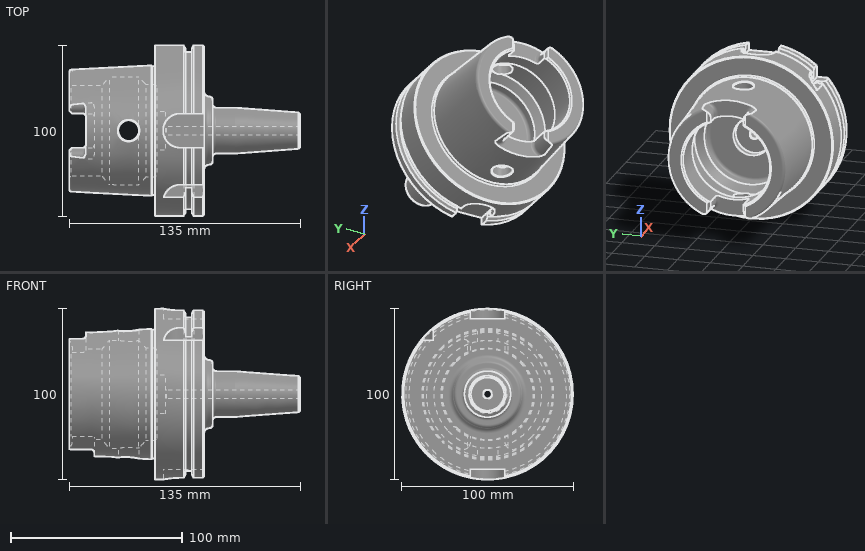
import cadquery as cq
import math

total_length = 135.0

flange_start = 50.0
shank_tip_radius = 35.8
shank_slope = 0.05
shank_tip_rounding = 1.8
relief_start = 48.0
relief_radius = 75.5 / 2
relief_floor_start = 48.6
relief_fillet = 0.8
relief_depth_in_flange = 0.3
relief_mouth_radius = 39.4

flange_end = 79.0
flange_radius = 100.0 / 2
flange_back_chamfer = 0.5
flange_front_chamfer = 1.0
groove_center = 69.86
groove_floor_radius = 46.0
groove_floor_half_width = 1.8
groove_shoulder_radius = 47.9
groove_half_angle = 30.0

collar_radius = 20.0
collar_root_fillet = 3.0
collar_edge_round = 2.0
collar_end = flange_end + collar_root_fillet + collar_edge_round
nose_radius = 13.5
nose_root_fillet = 2.0
nose_taper_start = 96.9
nose_half_angle = 4.3
nose_tip_chamfer = 1.0

bore_radius = 53.0 / 2
mouth_chamfer = 1.0
undercut_radius = 63.0 / 2
undercut_start = 19.2
undercut_half_angle = 50.0
undercut_end = 40.4
shoulder_half_angle = 45.0
rear_bore_radius = 27.0
bore_floor = 51.3
bore_floor_fillet = 2.0
pocket_radius = 22.4 / 2
pocket_depth = 5.0
through_hole_diameter = 4.9
through_hole_chamfer = 0.4

side_hole_x = 34.8
side_hole_diameter = 12.0
side_hole_chamfer = 0.4

slot_width = 20.0
top_slot_depth = 9.9
bottom_slot_depth = 14.7
slot_flank_round = 5.0
slot_shelf_height = 32.4
slot_floor_fillet = 2.0
slot_mouth_chamfer = 1.8

keyway_width = 20.0
keyway_center_x = 65.0
keyway_floor = 44.0
notch_offset = 31.6


def arc_middle(center_x, center_r, radius, angle):
    """Point on an arc of the profile, at an angle in degrees from the first axis."""
    a = math.radians(angle)
    return (center_x + radius * math.cos(a), center_r + radius * math.sin(a))


def revolve_about_x(profile):
    return profile.close().revolve(360, (0, 0, 0), (1, 0, 0))


def outer_body():
    shank_end_radius = shank_tip_radius + shank_slope * relief_start
    groove_rise = flange_radius - groove_shoulder_radius
    groove_half_width = groove_floor_half_width + groove_rise * math.tan(math.radians(groove_half_angle))
    nose_tip_radius = nose_radius - (total_length - nose_taper_start) * math.tan(math.radians(nose_half_angle))
    root_center_x = flange_end + collar_root_fillet
    root_center_r = collar_radius + collar_root_fillet
    edge_center_r = collar_radius - collar_edge_round
    nose_center_x = collar_end + nose_root_fillet
    nose_center_r = nose_radius + nose_root_fillet
    relief_center_x = flange_start + relief_depth_in_flange - relief_fillet
    relief_center_r = relief_radius + relief_fillet
    rounding_center_r = shank_tip_radius - shank_tip_rounding

    profile = (
        cq.Workplane("XY")
        .moveTo(0, 0)
        .lineTo(0, rounding_center_r)
        .threePointArc(
            arc_middle(shank_tip_rounding, rounding_center_r, shank_tip_rounding, 135),
            (shank_tip_rounding, shank_tip_radius),
        )
        .lineTo(relief_start, shank_end_radius)
        .lineTo(relief_floor_start, relief_radius)
        .lineTo(relief_center_x, relief_radius)
        .threePointArc(
            arc_middle(relief_center_x, relief_center_r, relief_fillet, -45),
            (relief_center_x + relief_fillet, relief_center_r),
        )
        .lineTo(flange_start, relief_mouth_radius)
        .lineTo(flange_start, flange_radius - flange_back_chamfer)
        .lineTo(flange_start + flange_back_chamfer, flange_radius)
        .lineTo(groove_center - groove_half_width, flange_radius)
        .lineTo(groove_center - groove_floor_half_width, groove_shoulder_radius)
        .lineTo(groove_center - groove_floor_half_width, groove_floor_radius)
        .lineTo(groove_center + groove_floor_half_width, groove_floor_radius)
        .lineTo(groove_center + groove_floor_half_width, groove_shoulder_radius)
        .lineTo(groove_center + groove_half_width, flange_radius)
        .lineTo(flange_end - flange_front_chamfer, flange_radius)
        .lineTo(flange_end, flange_radius - flange_front_chamfer)
        .lineTo(flange_end, root_center_r)
        .threePointArc(
            arc_middle(root_center_x, root_center_r, collar_root_fillet, 225),
            (root_center_x, collar_radius),
        )
        .threePointArc(
            arc_middle(root_center_x, edge_center_r, collar_edge_round, 45),
            (collar_end, edge_center_r),
        )
        .lineTo(collar_end, nose_center_r)
        .threePointArc(
            arc_middle(nose_center_x, nose_center_r, nose_root_fillet, 225),
            (nose_center_x, nose_radius),
        )
        .lineTo(nose_taper_start, nose_radius)
        .lineTo(total_length, nose_tip_radius)
        .lineTo(total_length, 0)
    )
    return revolve_about_x(profile).faces(">X").edges().chamfer(nose_tip_chamfer)


def bore():
    flare_length = (undercut_radius - bore_radius) / math.tan(math.radians(undercut_half_angle))
    shoulder_length = (undercut_radius - rear_bore_radius) / math.tan(math.radians(shoulder_half_angle))
    fillet_center_x = bore_floor - bore_floor_fillet
    fillet_center_r = rear_bore_radius - bore_floor_fillet
    pocket_floor = bore_floor + pocket_depth
    through_hole_radius = through_hole_diameter / 2
    profile = (
        cq.Workplane("XY")
        .moveTo(0, 0)
        .lineTo(0, bore_radius + mouth_chamfer)
        .lineTo(mouth_chamfer, bore_radius)
        .lineTo(undercut_start, bore_radius)
        .lineTo(undercut_start + flare_length, undercut_radius)
        .lineTo(undercut_end, undercut_radius)
        .lineTo(undercut_end + shoulder_length, rear_bore_radius)
        .lineTo(fillet_center_x, rear_bore_radius)
        .threePointArc(
            arc_middle(fillet_center_x, fillet_center_r, bore_floor_fillet, 45),
            (bore_floor, fillet_center_r),
        )
        .lineTo(bore_floor, pocket_radius)
        .lineTo(pocket_floor, pocket_radius)
        .lineTo(pocket_floor, through_hole_radius + through_hole_chamfer)
        .lineTo(pocket_floor + through_hole_chamfer, through_hole_radius)
        .lineTo(total_length, through_hole_radius)
        .lineTo(total_length, 0)
    )
    return revolve_about_x(profile)


def drill_side_holes(shank):
    """Drill through both shank walls and chamfer the outer rims of the holes."""
    drill = cq.Workplane("XY").center(side_hole_x, 0).circle(side_hole_diameter / 2)
    shank = shank.cut(drill.extrude(flange_radius, both=True))
    for side in (1, -1):
        rim_center = (side_hole_x, 0, side * (shank_tip_radius + shank_slope * side_hole_x))
        shank = shank.edges(cq.selectors.NearestToPointSelector(rim_center)).chamfer(side_hole_chamfer)
    return shank


def drive_slot(depth):
    """Cutter for the slot on the +Z side: straight walls that round outward into a wide top."""
    half_width = slot_width / 2
    round_center_y = half_width + slot_flank_round
    round_center_z = slot_shelf_height - slot_flank_round
    top = flange_radius
    right_middle = arc_middle(round_center_y, round_center_z, slot_flank_round, 135)
    left_middle = (-right_middle[0], right_middle[1])
    slot = (
        cq.Workplane("YZ")
        .moveTo(-half_width, 0)
        .lineTo(half_width, 0)
        .lineTo(half_width, round_center_z)
        .threePointArc(right_middle, (round_center_y, slot_shelf_height))
        .lineTo(slot_width, slot_shelf_height)
        .lineTo(slot_width, top)
        .lineTo(-slot_width, top)
        .lineTo(-slot_width, slot_shelf_height)
        .lineTo(-round_center_y, slot_shelf_height)
        .threePointArc(left_middle, (-half_width, round_center_z))
        .close()
        .extrude(depth)
    )
    margin = 0.1
    flanks = cq.selectors.BoxSelector(
        (depth - margin, -slot_width + margin, margin),
        (depth + margin, slot_width - margin, slot_shelf_height + margin),
    )
    slot = slot.edges(flanks).fillet(slot_floor_fillet)
    mouth = (
        cq.Workplane("XY")
        .moveTo(0, -half_width - slot_mouth_chamfer)
        .lineTo(slot_mouth_chamfer, -half_width)
        .lineTo(slot_mouth_chamfer, half_width)
        .lineTo(0, half_width + slot_mouth_chamfer)
        .close()
        .extrude(slot_shelf_height)
    )
    return slot.union(mouth)


def keyway(center_y, floor):
    """Round-ended keyway cutter on the +Z side, open toward +X."""
    length = flange_end - keyway_center_x
    height = flange_radius - floor
    plane = cq.Workplane("XY", origin=(keyway_center_x, center_y, floor))
    straight = plane.center(length / 2, 0).rect(length, keyway_width).extrude(height)
    return straight.union(plane.circle(keyway_width / 2).extrude(height))


def turned_to_bottom(cutter):
    return cutter.rotate((0, 0, 0), (1, 0, 0), 180)


result = drill_side_holes(outer_body().cut(bore()))
result = result.cut(drive_slot(top_slot_depth))
result = result.cut(turned_to_bottom(drive_slot(bottom_slot_depth)))
result = result.cut(keyway(0, keyway_floor))
result = result.cut(turned_to_bottom(keyway(0, keyway_floor)))
result = result.cut(keyway(-notch_offset - keyway_width / 2, notch_offset))